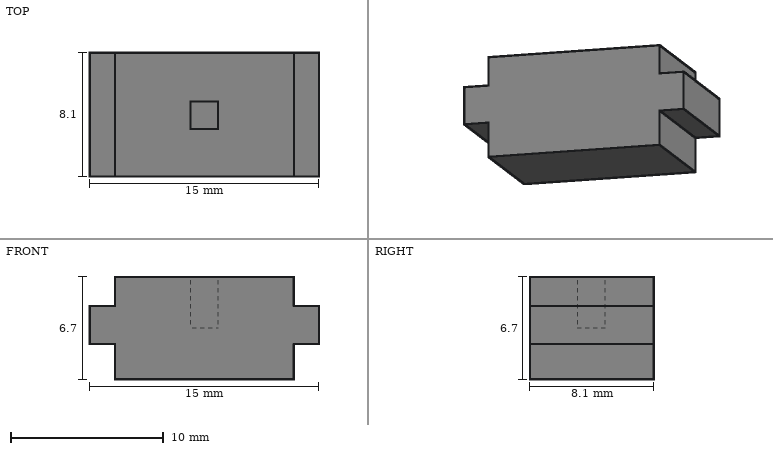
import cadquery as cq

overall_length = 15.0
width = 8.1
height = 6.7
body_length = 11.7

tab_thickness = 2.5
tab_bottom = 2.3

socket_side = 1.8
socket_offset_y = -0.05
socket_depth = height / 2


def block(length, depth, thickness, bottom):
    """Box centred on X and Y, with its underside at Z = bottom."""
    return (
        cq.Workplane("XY")
        .workplane(offset=bottom)
        .box(length, depth, thickness, centered=(True, True, False))
    )


def make_body():
    return block(body_length, width, height, 0)


def make_tabs():
    """One bar through the block whose two ends stand out as the tabs."""
    return block(overall_length, width, tab_thickness, tab_bottom)


def make_socket():
    socket = block(socket_side, socket_side, socket_depth, height - socket_depth)
    return socket.translate((0, socket_offset_y, 0))


result = make_body().union(make_tabs()).cut(make_socket())